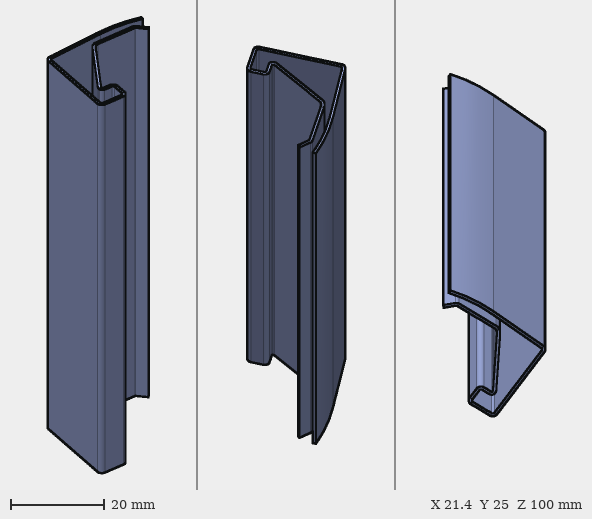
import cadquery as cq
import math

width = 21.4
depth = 25.0
length = 100.0
wall = 0.7
half_wall = wall / 2

lean_angle = math.radians(4)
lip_radius = 33.0
lip_arc_start = 14.5

hook_top = 7.1 - half_wall
hook_left = 16.8
dip_y = 3.6
dip_left = 15.9
clip_x = 3.0
slope_angle = math.radians(30.5)
flare_start = 22.0
flare_reach = 2.1

bend_radii = (0.4, 0.4 + wall)
clip_bend_radii = (1.3, 1.3 + wall)
flare_bend_radii = (0.2, 0.2 + wall)
dip_bend_radii = (0.1, 0.1 + wall)

lip_center_x = lip_radius
lip_center_y = lip_arc_start + lip_radius * math.sin(lean_angle)


def lip_point(radius, angle):
    """Point on a lip arc; the angle is measured upward from the -X direction."""
    return (
        lip_center_x - radius * math.cos(angle),
        lip_center_y + radius * math.sin(angle),
    )


def offset_path(points, distance):
    """Offset an open path to its right, with mitred corners and square ends."""
    normals = []
    for (x0, y0), (x1, y1) in zip(points, points[1:]):
        run = math.hypot(x1 - x0, y1 - y0)
        normals.append(((y1 - y0) / run, (x0 - x1) / run))
    before = normals[:1] + normals
    after = normals + normals[-1:]
    moved = []
    for (x, y), (ax, ay), (bx, by) in zip(points, before, after):
        miter = distance / (1 + ax * bx + ay * by)
        moved.append((x + miter * (ax + bx), y + miter * (ay + by)))
    return moved


lip_base = lip_point(lip_radius - half_wall, -lean_angle)
corner_x = lip_base[0] + (lip_base[1] - half_wall) * math.tan(lean_angle)
right_x = width - half_wall
slope_top = dip_y + (dip_left - clip_x) * math.tan(slope_angle)

middle_line = [
    lip_base,
    (corner_x, half_wall),
    (right_x, half_wall),
    (right_x, hook_top),
    (hook_left, hook_top),
    (hook_left, dip_y),
    (dip_left, dip_y),
    (clip_x, slope_top),
    (clip_x, flare_start),
    (clip_x + flare_reach, flare_start + flare_reach),
]
bends = [
    (bend_radii, True),
    (bend_radii, True),
    (bend_radii, True),
    (bend_radii, True),
    (dip_bend_radii, False),
    (dip_bend_radii, False),
    (clip_bend_radii, False),
    (flare_bend_radii, False),
]

exterior = offset_path(middle_line, half_wall)
interior = offset_path(middle_line, -half_wall)


def sharp_profile():
    """Closed wall section with unrounded bends, extruded to full length."""
    inner_radius = lip_radius - wall
    lip_end_angle = math.asin((depth - lip_center_y) / lip_radius)
    inner_end_angle = math.asin((depth - lip_center_y) / inner_radius)
    middle_angle = (lip_end_angle - lean_angle) / 2
    return (
        cq.Workplane("XY")
        .moveTo(*lip_point(lip_radius, lip_end_angle))
        .threePointArc(lip_point(lip_radius, middle_angle), exterior[0])
        .polyline(exterior[1:] + interior[::-1], includeCurrent=True)
        .threePointArc(
            lip_point(inner_radius, middle_angle),
            lip_point(inner_radius, inner_end_angle),
        )
        .close()
        .extrude(length)
    )


def round_edge(body, point, radius):
    """Round the lengthwise edge that passes through a section point."""
    edge = cq.selectors.NearestToPointSelector((*point, length / 2))
    return body.edges("|Z").edges(edge).fillet(radius)


result = sharp_profile()
for index, ((inside, outside), outside_on_right) in enumerate(bends, start=1):
    exterior_radius = outside if outside_on_right else inside
    interior_radius = inside if outside_on_right else outside
    result = round_edge(result, exterior[index], exterior_radius)
    result = round_edge(result, interior[index], interior_radius)